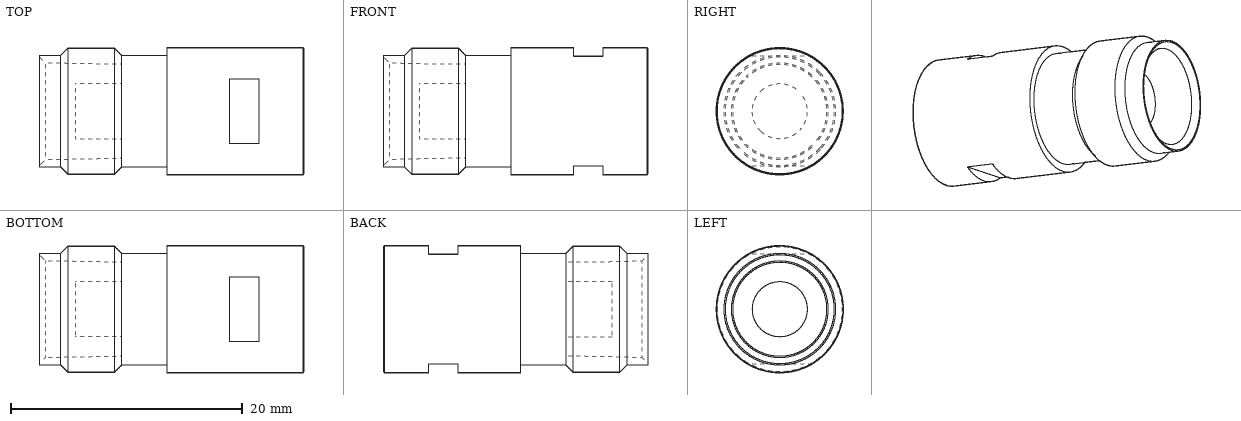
import cadquery as cq

length = 22.86
front_ring_end = 1.83
shoulder_end = 7.11
body_start = 11.0
flat_start = 16.43
flat_end = 18.95

body_diameter = 11.0
shoulder_diameter = 10.9
neck_diameter = 9.65

shoulder_bevel = (shoulder_diameter - neck_diameter) / 2
end_chamfer = 0.1

across_flats = 9.5

mouth_diameter = 9.4
mouth_chamfer_depth = 0.52
bore_diameter = 8.36
floor_diameter = 8.12
bore_depth = shoulder_end
post_diameter = 4.76
post_front = 3.1

body_radius = body_diameter / 2
shoulder_radius = shoulder_diameter / 2
neck_radius = neck_diameter / 2


def revolve_about_x(profile):
    """Turn a closed list of (x, radius) points about the X axis."""
    return cq.Workplane("XY").polyline(profile).close().revolve(360, (0, 0, 0), (1, 0, 0))


def outer_body():
    """Solid stepped barrel with its bevelled shoulder and chamfered closed end."""
    return revolve_about_x([
        (0, 0),
        (0, neck_radius),
        (front_ring_end, neck_radius),
        (front_ring_end + shoulder_bevel, shoulder_radius),
        (shoulder_end - shoulder_bevel, shoulder_radius),
        (shoulder_end, neck_radius),
        (body_start, neck_radius),
        (body_start, body_radius),
        (length - end_chamfer, body_radius),
        (length, body_radius - end_chamfer),
        (length, 0),
    ])


def socket():
    """Space inside the socket, leaving the contact post standing on the floor."""
    return revolve_about_x([
        (0, 0),
        (0, mouth_diameter / 2),
        (mouth_chamfer_depth, bore_diameter / 2),
        (bore_depth, floor_diameter / 2),
        (bore_depth, post_diameter / 2),
        (post_front, post_diameter / 2),
        (post_front, 0),
    ])


def flat_cutter(side):
    """Block that removes the barrel beyond one wrench flat; side is +1 (top) or -1 (bottom)."""
    flat_length = flat_end - flat_start
    flat_middle = (flat_start + flat_end) / 2
    block = cq.Workplane("XY").box(flat_length, body_diameter, body_diameter)
    return block.translate((flat_middle, 0, side * (across_flats + body_diameter) / 2))


result = outer_body().cut(socket())
for flat_side in (1, -1):
    result = result.cut(flat_cutter(flat_side))